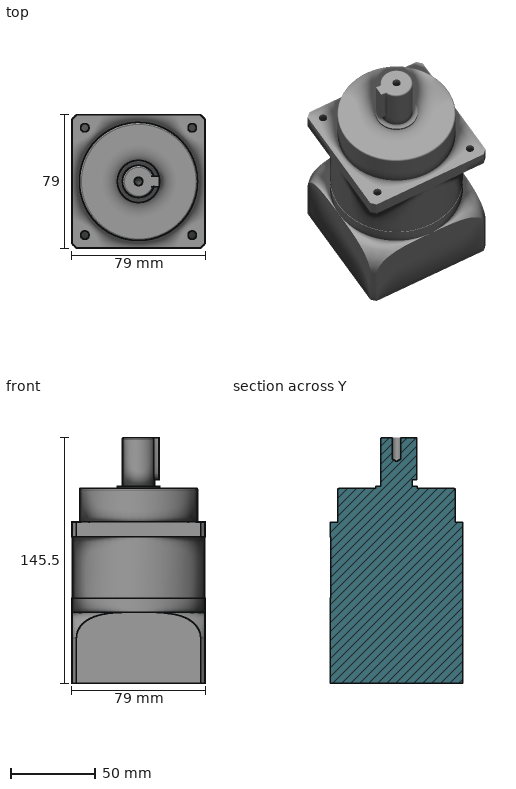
import cadquery as cq
import math

SIDE = 79.0
HALF = SIDE / 2
SHOULDER_TOP = 50.5
FLANGE_BOTTOM = 86.7
FLANGE_TOP = 95.6
PILOT_TOP = 115.5
COLLAR_TOP = 116.8
SHAFT_TOP = 145.5

BODY_DIA = 78.5
PILOT_DIA = 70.0
COLLAR_DIA = 25.0
SHAFT_DIA = 19.0
EDGE_ROUND = 1.0

CORNER_CUT = 2.8
CORNER_RADIUS = math.hypot(HALF, HALF - CORNER_CUT)
HOUSING_TOP = 42.0
HOUSING_ROUND = 15.0

ACCESS_DIA = 12.5
ACCESS_Y = -13.7
ACCESS_Z = 13.4
HUB_DIA = 39.0

BOLT_HOLE_DIA = 5.0
BOLT_SPACING = 63.6

KEY_WIDTH = 6.3
KEY_BOTTOM = 120.5
KEY_REACH = 12.2
CENTRE_HOLE_DIA = 5.0
CENTRE_HOLE_DEPTH = 12.5
DRILL_TIP_ANGLE = 118


def cylinder(diameter, bottom, top):
    return cq.Workplane("XY").workplane(offset=bottom).circle(diameter / 2).extrude(top - bottom)


def square_housing():
    block = cq.Workplane("XY").rect(SIDE, SIDE).extrude(HOUSING_TOP)
    turned = cylinder(2 * CORNER_RADIUS, 0, HOUSING_TOP).faces(">Z").edges().fillet(HOUSING_ROUND)
    return block.intersect(turned)


def mounting_flange():
    return (
        cq.Workplane("XY")
        .workplane(offset=FLANGE_BOTTOM)
        .rect(SIDE, SIDE)
        .extrude(FLANGE_TOP - FLANGE_BOTTOM)
        .edges("|Z")
        .chamfer(CORNER_CUT)
        .faces(">Z")
        .workplane()
        .rect(BOLT_SPACING, BOLT_SPACING, forConstruction=True)
        .vertices()
        .hole(BOLT_HOLE_DIA)
    )


def shaft_key():
    """Key running from the main axis outwards, with a round lower end."""
    end_radius = KEY_WIDTH / 2
    return (
        cq.Workplane("YZ")
        .moveTo(-end_radius, SHAFT_TOP)
        .lineTo(-end_radius, KEY_BOTTOM + end_radius)
        .threePointArc((0, KEY_BOTTOM), (end_radius, KEY_BOTTOM + end_radius))
        .lineTo(end_radius, SHAFT_TOP)
        .close()
        .extrude(KEY_REACH)
    )


def access_hole():
    drill = (
        cq.Workplane("YZ")
        .workplane(offset=-HALF)
        .center(ACCESS_Y, ACCESS_Z)
        .circle(ACCESS_DIA / 2)
        .extrude(HALF)
    )
    return drill.cut(cylinder(HUB_DIA, 0, HOUSING_TOP))


def centre_hole():
    """Drilled hole in the shaft end with a conical bottom."""
    radius = CENTRE_HOLE_DIA / 2
    wall_bottom = SHAFT_TOP - CENTRE_HOLE_DEPTH
    tip_depth = radius / math.tan(math.radians(DRILL_TIP_ANGLE / 2))
    return (
        cq.Workplane("XZ")
        .moveTo(0, SHAFT_TOP)
        .lineTo(radius, SHAFT_TOP)
        .lineTo(radius, wall_bottom)
        .lineTo(0, wall_bottom - tip_depth)
        .close()
        .revolve(360, (0, 0), (0, 1))
    )


shoulder = cylinder(SIDE, 0, SHOULDER_TOP)
body = cylinder(BODY_DIA, SHOULDER_TOP, FLANGE_BOTTOM)
pilot = cylinder(PILOT_DIA, FLANGE_TOP, PILOT_TOP).faces(">Z").edges().fillet(EDGE_ROUND)
collar = cylinder(COLLAR_DIA, PILOT_TOP, COLLAR_TOP)
shaft = cylinder(SHAFT_DIA, COLLAR_TOP, SHAFT_TOP).faces(">Z").edges().fillet(EDGE_ROUND)

result = square_housing()
for section in (shoulder, body, mounting_flange(), pilot, collar, shaft, shaft_key()):
    result = result.union(section)
result = result.cut(access_hole()).cut(centre_hole())